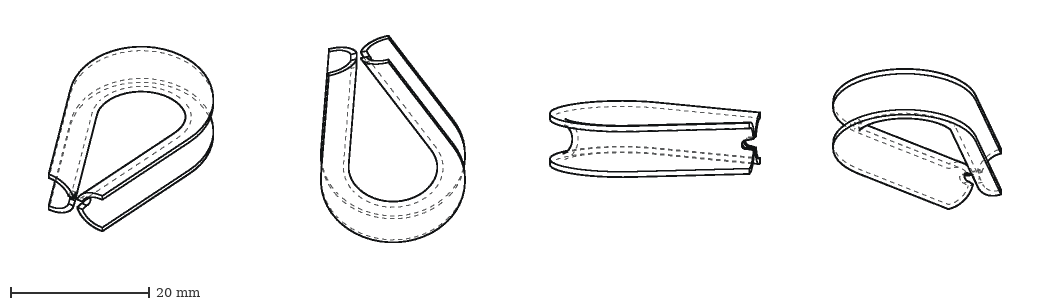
import cadquery as cq
import math

total_length = 30.0
total_width = 20.9
channel_height = 7.5
wall = 0.8
rim_flat = 0.3
leg_lean = 18.6

bend_radius = total_width / 2
groove_centre = bend_radius - rim_flat
back_radius = channel_height / 2
groove_radius = back_radius - wall
leg_end_y = bend_radius - total_length

notch_depth = 1.65
notch_radius = 0.65
notch_taper = 11.0


def channel_section(plane):
    """Half-ring channel open away from the eye, with short straight rims."""
    return (
        cq.Workplane(plane)
        .moveTo(bend_radius, back_radius)
        .lineTo(groove_centre, back_radius)
        .threePointArc((groove_centre - back_radius, 0), (groove_centre, -back_radius))
        .lineTo(bend_radius, -back_radius)
        .lineTo(bend_radius, -groove_radius)
        .lineTo(groove_centre, -groove_radius)
        .threePointArc((groove_centre - groove_radius, 0), (groove_centre, groove_radius))
        .lineTo(bend_radius, groove_radius)
        .close()
    )


def make_bend():
    """Eye bend, swept past the half turn by the lean at both ends."""
    sweep_angle = 180 + 2 * leg_lean
    bend = channel_section("XZ").revolve(sweep_angle, (0, 0, 0), (0, -1, 0))
    return bend.rotate((0, 0, 0), (0, 0, 1), 180 + leg_lean)


def make_right_leg():
    """Straight channel tangent to the bend, before its end is trimmed."""
    leg = channel_section("XZ").extrude(total_length)
    return leg.rotate((0, 0, 0), (0, 0, 1), -leg_lean)


def make_legs():
    """Both legs, cut square to Y at the closed end and kept on their own sides."""
    side_space = cq.Workplane("XY").box(
        total_width, total_length, channel_height, centered=(False, False, True)
    ).translate((0, leg_end_y, 0))
    right_leg = make_right_leg().intersect(side_space)
    return right_leg.union(right_leg.mirror("YZ"))


def make_notch():
    """Round-bottomed, tapered notch through the backs of both legs along X."""
    taper = math.radians(notch_taper)
    bottom_y = leg_end_y + notch_depth
    centre_y = bottom_y - notch_radius
    tangent_y = centre_y - notch_radius * math.sin(taper)
    tangent_z = notch_radius * math.cos(taper)
    mouth_z = tangent_z + (tangent_y - leg_end_y) * math.tan(taper)
    return (
        cq.Workplane("YZ")
        .moveTo(leg_end_y, mouth_z)
        .lineTo(tangent_y, tangent_z)
        .threePointArc((bottom_y, 0), (tangent_y, -tangent_z))
        .lineTo(leg_end_y, -mouth_z)
        .close()
        .extrude(total_width / 2, both=True)
    )


result = make_bend().union(make_legs()).cut(make_notch())